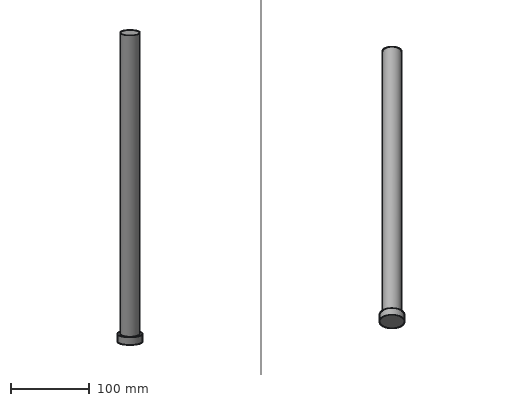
import cadquery as cq

total_length = 410.0
head_diameter = 32.0
head_height = 10.2
shank_diameter = 25.0

head = cq.Workplane("XY").circle(head_diameter / 2).extrude(head_height)
shank = cq.Workplane("XY").circle(shank_diameter / 2).extrude(total_length)

result = head.union(shank)